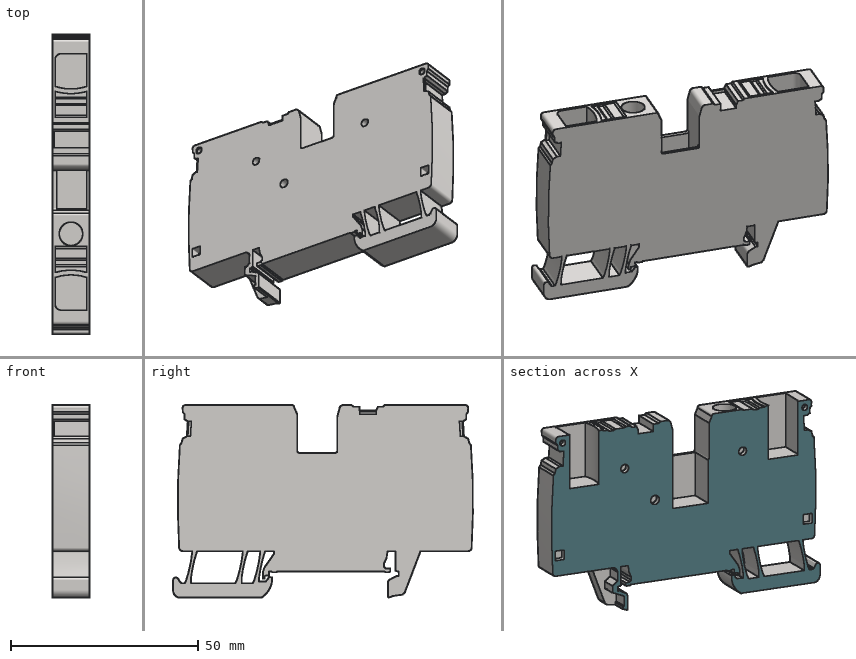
import cadquery as cq


thickness = 10.0
total_height = 51.45
foot_end_y = -40.66
half_length = 39.4
side_x = -thickness / 2
select_margin = 0.1
overlap = 0.6

housing_bottom = 12.4
notch_floor = 38.65
rail_seat = 7.0

notch_left_y = 3.15
notch_right_y = -7.5
notch_fillet = 0.6
slot_left_x = -3.75
slot_right_x = 4.15
slot_end_y = -7.2
slot_depth = 12.0

seat_outer = (15.8, 6.95)
seat_shelf_outer = (15.4, 7.5)
seat_shelf_inner = (14.0, 9.1)
seat_inner = (13.5, 9.1)
seat_shelf_depth = 0.45
seat_depth = 1.5

window_top = 47.05
window_bottom = 43.05
window_top_y = 36.75
window_bottom_y = 37.0

rim_width = 0.5
pocket_depth = 1.0
rebate_width = 0.25
rebate_depth = 0.3

entry_half_width = 4.25
entry_outer_y = 34.2
entry_inner_y = 25.5
entry_bow = 0.7
entry_corner = 1.65
entry_depth = 15.0
driver_hole_y = -13.85
driver_hole_diameter = 6.25
grip_start_y = 17.2
grip_end_y = 24.15
grip_bow = 0.6
grip_depth = 0.25
grip_groove_depth = 0.6

peg_depth = 3.0
corner_peg_y, corner_peg_z = 36.03, 49.4
corner_peg_diameter = 1.5
corner_peg_chamfer = 0.2
side_peg_y, side_peg_z = 17.55, 39.72
side_peg_diameter = 2.15
middle_peg_y, middle_peg_z = 8.54, 29.72
middle_peg_diameter = 2.4
square_y, square_z = 36.9, 18.15
square_size = 2.55
square_fillet = 0.25

wedge_x = 1.0
claw_tip_y, claw_bend_z = 16.65, 4.6
claw_fillet = 1.0
foot_top = 3.9
rib_tops = (-16.05, -20.7, -34.2)


def side_plane(x=side_x):
    """YZ plane at the given X; extrusions run toward +X."""
    return cq.Workplane("YZ", origin=(x, 0, 0))


def plate(points):
    """Full-thickness plate from a closed polygon of (y, z) points."""
    return side_plane().polyline(points).close().extrude(thickness)


def slab(x_range, y_range, z_range):
    """Axis-aligned block between the given limits."""
    low = (min(x_range), min(y_range), min(z_range))
    sizes = [max(limits) - min(limits) for limits in (x_range, y_range, z_range)]
    return cq.Workplane("XY").box(*sizes, centered=False).translate(low)


def fillet_edge(body, y, z, radius):
    """Round the X-direction edge of the body that passes through (y, z)."""
    selector = cq.selectors.BoxSelector(
        (-thickness, y - select_margin, z - select_margin),
        (thickness, y + select_margin, z + select_margin),
    )
    return body.edges(selector).fillet(radius)


def end_wall(outline, side, upward):
    """Append one stepped end wall to the outline; side is +1 for +Y and -1 for -Y."""
    bottom_corner = ((38.1, housing_bottom), (38.8, 12.75), (39.05, 13.5))
    bulge = ((39.05, 13.5), (half_length, 27.0), (38.85, 40.7))
    top_corner = ((38.1, 50.3), (37.95, 51.1), (37.3, total_height))
    steps = [
        (38.4, 41.3), (38.1, 42.45), (window_bottom_y, window_bottom),
        (window_top_y, window_top), (37.6, 47.6), (37.6, 48.95),
        (38.1, 49.55), top_corner[0],
    ]

    def at_side(points):
        return [(side * y, z) for y, z in points]

    if upward:
        outline = outline.lineTo(*at_side(bottom_corner)[0])
        outline = outline.threePointArc(*at_side(bottom_corner)[1:])
        outline = outline.threePointArc(*at_side(bulge)[1:])
        for point in at_side(steps):
            outline = outline.lineTo(*point)
        return outline.threePointArc(*at_side(top_corner)[1:])

    outline = outline.lineTo(*at_side(top_corner)[2])
    outline = outline.threePointArc(*at_side(top_corner)[1::-1])
    for point in at_side(steps)[-2::-1]:
        outline = outline.lineTo(*point)
    outline = outline.lineTo(*at_side(bulge)[2])
    outline = outline.threePointArc(*at_side(bulge)[1::-1])
    return outline.threePointArc(*at_side(bottom_corner)[1::-1])


def make_housing():
    shelf_z = total_height - seat_shelf_depth
    seat_z = total_height - seat_depth
    outline = side_plane().moveTo(0, housing_bottom)
    outline = end_wall(outline, 1, upward=True)
    outline = (
        outline
        .lineTo(seat_outer[0], total_height)
        .lineTo(seat_shelf_outer[0], shelf_z)
        .lineTo(seat_shelf_inner[0], shelf_z)
        .lineTo(seat_inner[0], seat_z)
        .lineTo(seat_inner[1], seat_z)
        .lineTo(seat_shelf_inner[1], shelf_z)
        .lineTo(seat_shelf_outer[1], shelf_z)
        .lineTo(seat_outer[1], total_height)
        .lineTo(4.7, total_height)
        .threePointArc((4.1, 51.15), (3.7, 50.4))
        .lineTo(3.25, 48.7)
        .lineTo(notch_left_y, 48.3)
        .lineTo(notch_left_y, notch_floor)
        .lineTo(notch_right_y, notch_floor)
        .lineTo(notch_right_y, 49.0)
        .lineTo(-8.3, 50.75)
        .threePointArc((-8.5, 51.25), (-8.95, total_height))
    )
    outline = end_wall(outline, -1, upward=False)
    housing = outline.close().extrude(thickness)
    for wall_y in (notch_left_y, notch_right_y):
        housing = fillet_edge(housing, wall_y, notch_floor, notch_fillet)
    return housing


def make_middle_block():
    """Block under the housing that sits on the rail, with a lip on each side."""
    return plate([
        (16.6, housing_bottom + overlap),
        (16.6, housing_bottom), (16.35, 10.65), (15.65, 9.1), (15.65, 8.3), (16.1, 7.85),
        (17.35, 7.8), (17.35, rail_seat), (17.0, 6.8), (16.1, 6.8), (15.6, rail_seat),
        (-12.8, rail_seat), (-13.0, 6.8), (-14.2, 6.8), (-14.4, rail_seat),
        (-15.0, rail_seat), (-15.0, 5.95), (-16.1, 5.85), (-16.2, 5.05), (-16.7, 5.05),
        (-16.7, 6.85), (-16.3, 8.05), (-13.75, 11.7), (-13.75, housing_bottom + overlap),
    ])


def make_claw():
    """Fixed rail claw: a bent full-width strip backed by a narrower wedge."""
    back = [
        (20.7, housing_bottom), (20.05, 11.9), (19.7, 11.1), (19.7, 8.65), (21.25, 7.45),
        (21.25, 5.5), (17.8, 4.05), (17.8, 1.4), (18.1, 1.2), (18.1, 0.45),
    ]
    front = [
        (16.95, 0.05), (claw_tip_y, 0.2), (claw_tip_y, claw_bend_z), (18.95, 5.8), (19.55, 5.85),
        (19.55, 6.95), (18.95, 7.05), (18.65, 7.25), (18.65, housing_bottom + overlap),
        (20.7, housing_bottom + overlap),
    ]
    strip = plate(back + front)
    strip = fillet_edge(strip, claw_tip_y, claw_bend_z, claw_fillet)
    wedge_back = [
        (20.6, 0.8), (21.2, 1.4), (25.4, housing_bottom),
        (25.4, housing_bottom + overlap), (20.7, housing_bottom + overlap),
    ]
    wedge = (
        side_plane(wedge_x).polyline(back + wedge_back).close()
        .extrude(thickness / 2 - wedge_x)
    )
    return strip.union(wedge)


def make_spring_rib(top_y):
    """Slim curved rib joining the foot to the housing; top_y is its +Y top corner."""
    return (
        side_plane()
        .moveTo(top_y, housing_bottom + overlap)
        .lineTo(top_y, housing_bottom)
        .threePointArc((top_y - 0.95, 9.1), (top_y - 1.6, 5.4))
        .lineTo(top_y - 1.6, foot_top - overlap)
        .lineTo(top_y - 3.35, foot_top - overlap)
        .lineTo(top_y - 3.35, foot_top)
        .lineTo(top_y - 2.95, 4.7)
        .threePointArc((top_y - 2.0, 8.2), (top_y - 1.38, 12.0))
        .lineTo(top_y - 1.38, housing_bottom + overlap)
        .close()
        .extrude(thickness)
    )


def make_foot():
    """Sprung rail foot with a hook at its inner end and a release lip at its outer end."""
    foot = (
        side_plane()
        .moveTo(-17.1, 0)
        .lineTo(-39.1, 0)
        .threePointArc((-40.2, 0.7), (foot_end_y, 1.9))
        .lineTo(foot_end_y, 4.7)
        .threePointArc((-40.1, 5.4), (-39.35, 5.2))
        .lineTo(-38.7, 4.15)
        .lineTo(-38.3, foot_top)
        .lineTo(-18.5, foot_top)
        .lineTo(-17.4, 4.4)
        .lineTo(-15.9, 4.4)
        .lineTo(-15.25, 5.2)
        .lineTo(-15.0, 5.55)
        .lineTo(-14.2, 5.45)
        .lineTo(-14.2, 4.4)
        .threePointArc((-15.1, 1.95), (-17.1, 0))
        .close()
        .extrude(thickness)
    )
    for top_y in rib_tops:
        foot = foot.union(make_spring_rib(top_y))
    return foot


def make_bridge_slot():
    """Deep slot for a jumper in the notch floor, leaving a thin wall on each side."""
    return slab(
        (slot_left_x, slot_right_x),
        (slot_end_y, notch_left_y),
        (notch_floor - slot_depth, notch_floor + notch_fillet),
    )


def make_wire_entry(side):
    """Straight-walled pocket with a bowed inner wall and one rounded outer corner at -X."""
    pocket = (
        cq.Workplane("XY", origin=(0, 0, total_height - entry_depth))
        .moveTo(-entry_half_width, side * entry_inner_y)
        .threePointArc(
            (0, side * (entry_inner_y - entry_bow)),
            (entry_half_width, side * entry_inner_y),
        )
        .lineTo(entry_half_width, side * entry_outer_y)
        .lineTo(-entry_half_width, side * entry_outer_y)
        .close()
        .extrude(entry_depth)
    )
    outer_corner = "<X and >Y" if side > 0 else "<X and <Y"
    corner_edge = pocket.edges("|Z").edges(outer_corner)
    return corner_edge.fillet(entry_corner)


def make_grip_recess(side):
    """Shallow recess with a cross groove and an outer edge that follows the wire entry."""
    recess_z = total_height - grip_depth
    groove_z = total_height - grip_groove_depth
    profile = [
        (grip_start_y, total_height), (17.8, recess_z), (20.4, recess_z), (20.9, groove_z),
        (22.15, groove_z), (22.6, recess_z), (grip_end_y, recess_z), (grip_end_y, total_height),
    ]
    recess = (
        side_plane(-entry_half_width)
        .polyline([(side * y, z) for y, z in profile])
        .close()
        .extrude(2 * entry_half_width)
    )
    bowed_edge = (
        cq.Workplane("XY", origin=(0, 0, groove_z))
        .moveTo(-entry_half_width, side * grip_end_y)
        .threePointArc(
            (0, side * (grip_end_y - grip_bow)),
            (entry_half_width, side * grip_end_y),
        )
        .close()
        .extrude(grip_groove_depth)
    )
    return recess.cut(bowed_edge)


def make_driver_hole():
    return (
        cq.Workplane("XY", origin=(0, driver_hole_y, total_height - entry_depth))
        .circle(driver_hole_diameter / 2)
        .extrude(entry_depth)
    )


def make_peg_hole(y, z, diameter):
    return side_plane().center(y, z).circle(diameter / 2).extrude(peg_depth)


def make_corner_peg_hole(y):
    """Peg hole with a countersunk mouth."""
    hole = make_peg_hole(y, corner_peg_z, corner_peg_diameter)
    mouth = (
        side_plane().center(y, corner_peg_z)
        .circle(corner_peg_diameter / 2 + corner_peg_chamfer)
        .workplane(offset=corner_peg_chamfer)
        .circle(corner_peg_diameter / 2)
        .loft()
    )
    return hole.union(mouth)


def make_square_pocket(y):
    return (
        side_plane().center(y, square_z).rect(square_size, square_size)
        .extrude(peg_depth).edges("|X").fillet(square_fillet)
    )


def make_window_cut(side, x_start, width, depth):
    """Cut of the given depth behind the sloping back of a snap window."""
    corners = [
        (window_top_y, window_top), (window_bottom_y, window_bottom),
        (window_bottom_y - depth, window_bottom), (window_top_y - depth, window_top),
    ]
    return (
        side_plane(x_start).polyline([(side * y, z) for y, z in corners]).close()
        .extrude(width)
    )


def make_seat_cut(x_start, width, depth):
    """Cut of the given depth below the floor of the marker seat."""
    seat_z = total_height - seat_depth
    return slab((x_start, x_start + width), seat_inner, (seat_z - depth, seat_z))


result = make_housing()
for rail_part in (make_middle_block(), make_claw(), make_foot()):
    result = result.union(rail_part)

result = result.cut(make_bridge_slot()).cut(make_driver_hole())
for x_start, width, depth in (
    (side_x, rebate_width, rebate_depth),
    (side_x + rim_width, thickness - rim_width, pocket_depth),
):
    result = result.cut(make_seat_cut(x_start, width, depth))
    for side in (1, -1):
        result = result.cut(make_window_cut(side, x_start, width, depth))

result = result.cut(make_peg_hole(middle_peg_y, middle_peg_z, middle_peg_diameter))
for side in (1, -1):
    result = result.cut(make_wire_entry(side))
    result = result.cut(make_grip_recess(side))
    result = result.cut(make_corner_peg_hole(side * corner_peg_y))
    result = result.cut(make_peg_hole(side * side_peg_y, side_peg_z, side_peg_diameter))
    result = result.cut(make_square_pocket(side * square_y))